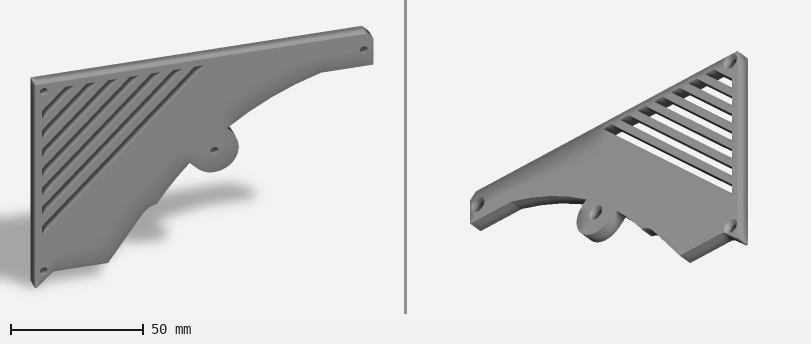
import cadquery as cq
import math

thickness = 6.0
length = 133.0
height = 89.6

arm_depth = 14.1
corner_chamfer = 2.8
arm_straight_end_y = 112.4
arch_middle = (75.4, -32.2)
arch_end = (47.9, -60.8)
shoulder_middle = (44.7, -62.0)
shoulder_end = (42.5, -63.8)
foot_z = -83.5
foot_start_y = 28.7
foot_end_y = 7.7
foot_toe = (6.4, -84.2)
tip_width = 0.7

lug_center = (70.5, -41.1)
lug_radius = 9.6
neck_length = 13.3
neck_angle = -135.0

slot_count = 7
slot_margin = 2.8
smallest_slot_leg = 13.3
largest_slot_leg = 64.1
slot_width = 4.3
slot_pitch = (largest_slot_leg - smallest_slot_leg) / (slot_count - 1)

hole_diameter = 3.0
countersink_diameter = 6.4
countersink_angle = 90.0
edge_hole_y = 3.5
hole_centers = [
    (129.1, -6.9),
    (edge_hole_y, -3.3),
    (edge_hole_y, -82.6),
    lug_center,
]


def make_plate():
    return (
        cq.Workplane("YZ")
        .moveTo(0, 0)
        .lineTo(length - corner_chamfer, 0)
        .lineTo(length, -corner_chamfer)
        .lineTo(length, -arm_depth)
        .lineTo(arm_straight_end_y, -arm_depth)
        .threePointArc(arch_middle, arch_end)
        .threePointArc(shoulder_middle, shoulder_end)
        .lineTo(foot_start_y, foot_z)
        .lineTo(foot_end_y, foot_z)
        .lineTo(*foot_toe)
        .lineTo(tip_width, -height)
        .lineTo(0, -height)
        .close()
        .extrude(thickness)
    )


def make_lug():
    disc = cq.Workplane("YZ").center(*lug_center).circle(lug_radius).extrude(thickness)
    angle = math.radians(neck_angle)
    neck_center = (
        lug_center[0] - neck_length / 2 * math.cos(angle + math.pi / 2),
        lug_center[1] - neck_length / 2 * math.sin(angle + math.pi / 2),
    )
    neck = (
        cq.Workplane("YZ")
        .center(*neck_center)
        .transformed(rotate=(0, 0, neck_angle))
        .rect(2 * lug_radius, neck_length)
        .extrude(thickness)
    )
    return disc.union(neck)


def make_slot(outer_leg):
    inner_leg = outer_leg - slot_width
    return (
        cq.Workplane("YZ")
        .center(slot_margin, -slot_margin)
        .polyline([(outer_leg, 0), (inner_leg, 0), (0, -inner_leg), (0, -outer_leg)])
        .close()
        .extrude(thickness)
    )


def make_screw_hole(center):
    rim_radius = countersink_diameter / 2
    hole_radius = hole_diameter / 2
    sink_depth = (rim_radius - hole_radius) / math.tan(math.radians(countersink_angle / 2))
    profile = [
        (0, 0),
        (0, rim_radius),
        (sink_depth, hole_radius),
        (thickness, hole_radius),
        (thickness, 0),
    ]
    cutter = cq.Workplane("XY").polyline(profile).close().revolve(360, (0, 0, 0), (1, 0, 0))
    return cutter.translate((0, center[0], center[1]))


result = make_plate().union(make_lug())
for index in range(slot_count):
    result = result.cut(make_slot(smallest_slot_leg + index * slot_pitch))
for hole_center in hole_centers:
    result = result.cut(make_screw_hole(hole_center))